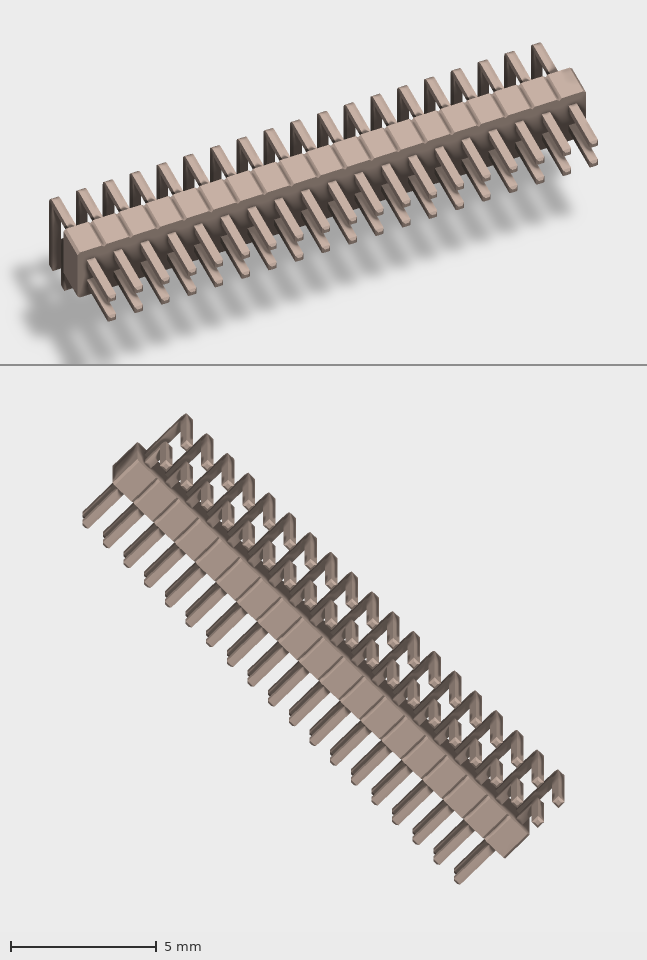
import cadquery as cq

positions = 19
overall_length = 19.0
pitch = overall_length / positions

overall_width = 5.15
overall_height = 4.12

housing_width = 1.2
housing_height = 2.3
housing_chamfer = 0.1

pin_size = 0.3
tip_chamfer = 0.08

housing_start = 2.05
leg_end = housing_height / 2 - overall_height


def housing_segment():
    """One housing block with its four edges along X chamfered."""
    block = cq.Workplane("XY").box(housing_width, pitch, housing_height, centered=(False, True, True))
    return block.edges("|X").chamfer(housing_chamfer).translate((housing_start, 0, 0))


def pin_tip(plane):
    """Pin end on the given plane, tapering at 45 degrees along its normal."""
    tip_size = pin_size - 2 * tip_chamfer
    return (
        cq.Workplane(plane)
        .rect(pin_size, pin_size)
        .workplane(offset=tip_chamfer)
        .rect(tip_size, tip_size)
        .loft(ruled=True)
    )


def bent_pin(leg_x, axis_z):
    """Square pin bent at a right angle: sharp inside corner, outside rounded about that corner."""
    mating_x = overall_width - tip_chamfer
    leg_z = leg_end + tip_chamfer
    inner_x = leg_x + pin_size
    inner_z = axis_z - pin_size / 2
    top_z = axis_z + pin_size / 2
    shank = (
        cq.Workplane("XZ")
        .moveTo(leg_x, leg_z)
        .lineTo(leg_x, inner_z)
        .radiusArc((inner_x, top_z), pin_size)
        .lineTo(mating_x, top_z)
        .lineTo(mating_x, inner_z)
        .lineTo(inner_x, inner_z)
        .lineTo(inner_x, leg_z)
        .close()
        .extrude(pin_size / 2, both=True)
    )
    mating_plane = cq.Plane(origin=(mating_x, 0, axis_z), xDir=(0, 1, 0), normal=(1, 0, 0))
    leg_plane = cq.Plane(origin=(leg_x + pin_size / 2, 0, leg_z), xDir=(1, 0, 0), normal=(0, 0, -1))
    return shank.union(pin_tip(mating_plane)).union(pin_tip(leg_plane))


upper_pin = bent_pin(0, pitch / 2)
lower_pin = bent_pin(pitch, -pitch / 2)
position = housing_segment().union(upper_pin).union(lower_pin)

first_y = -(positions - 1) * pitch / 2
result = position.translate((0, first_y, 0))
for index in range(1, positions):
    result = result.union(position.translate((0, first_y + index * pitch, 0)))